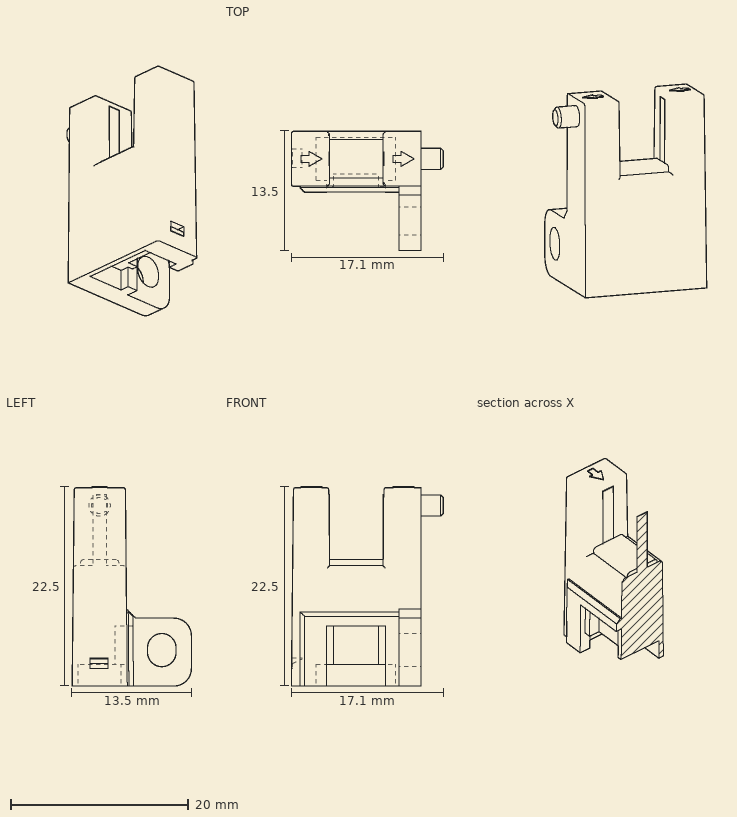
import cadquery as cq
import math

TOTAL_HEIGHT = 22.52
ARROW_HEIGHT = 0.1
BODY_HEIGHT = TOTAL_HEIGHT - ARROW_HEIGHT
BODY_WIDTH = 14.65
BODY_DEPTH = 6.24
DRAFT_SLOPE = math.tan(math.radians(0.6))
FRONT_DRAFT_SLOPE = math.tan(math.radians(0.5))
EDGE_RADIUS = 0.3
MID_Y = BODY_DEPTH / 2
OVERLAP = 0.68

SLOT_LEFT = 4.32
SLOT_RIGHT = 10.35
SLOT_FLOOR = 13.6
SADDLE_WIDTH = 4.37
SADDLE_TOP = 14.32
SADDLE_RADIUS = 0.47
WINDOW_WIDTH = 1.53
WINDOW_TOP = 21.66

PLATE_LEFT = 1.0
PLATE_TOP = 8.4
PLATE_THICKNESS = 0.7
PLATE_CHAMFER = 0.52

OPENING_MID_X = 7.3
NOTCH_WIDTH = 6.67
NOTCH_TOP = 6.78
POCKET_WIDTH = 5.07
POCKET_BACK = 1.4
HOLLOW_WIDTH = 8.96
HOLLOW_HEIGHT = 2.48
WALL = 0.7

LUG_THICKNESS = 2.5
LUG_REACH = 7.25
LUG_HEIGHT = 7.7
LUG_RADIUS = 2.0
GUSSET = 1.01
LUG_HOLE_WIDTH = 3.2
LUG_HOLE_HEIGHT = 3.72
LUG_HOLE_Y = -3.9
LUG_HOLE_Z = 4.08

PIN_DIAMETER = 2.4
PIN_LENGTH = 2.5
PIN_CHAMFER = 0.3
PIN_Z = 20.4

LATCH_FRONT = 2.16
LATCH_WIDTH = 2.05
LATCH_BOTTOM = 1.98
LATCH_RAMP_BOTTOM = 2.55
LATCH_TOP = 3.18
LATCH_RAMP_TOP = 3.09
LATCH_FACE_DEPTH = 0.11
LATCH_TOP_DEPTH = 1.24

ARROW_LENGTH = 2.39
ARROW_STEM_LENGTH = 0.92
ARROW_STEM_WIDTH = 0.79
ARROW_HEAD_WIDTH = 1.7
ARROW_START = 1.08
ARROW_PITCH = 10.4


def block(x_range, y_range, z_range):
    """Axis-aligned box between the given limits."""
    size = [high - low for low, high in (x_range, y_range, z_range)]
    corner = (x_range[0], y_range[0], z_range[0])
    return cq.Workplane("XY").box(*size, centered=False).translate(corner)


def prism_along_x(points, x_start, x_end):
    """Extrude a closed (y, z) outline from x_start to x_end."""
    return cq.Workplane("YZ", origin=(x_start, 0, 0)).polyline(points).close().extrude(x_end - x_start)


def centred(middle, width):
    """Limits of a span of the given width about a middle position."""
    return (middle - width / 2, middle + width / 2)


def make_body():
    """U-shaped housing drafted on every side but the right, with rounded edges."""
    rise = DRAFT_SLOPE * BODY_HEIGHT
    front_rise = FRONT_DRAFT_SLOPE * BODY_HEIGHT
    slot_spread = DRAFT_SLOPE * (BODY_HEIGHT - SLOT_FLOOR)
    front_outline = [
        (0, 0),
        (BODY_WIDTH, 0),
        (BODY_WIDTH, BODY_HEIGHT),
        (SLOT_RIGHT + slot_spread, BODY_HEIGHT),
        (SLOT_RIGHT, SLOT_FLOOR),
        (SLOT_LEFT, SLOT_FLOOR),
        (SLOT_LEFT - slot_spread, BODY_HEIGHT),
        (rise, BODY_HEIGHT),
    ]
    side_outline = [(0, 0), (BODY_DEPTH, 0), (BODY_DEPTH - rise, BODY_HEIGHT), (front_rise, BODY_HEIGHT)]
    body = cq.Workplane("XZ").polyline(front_outline).close().extrude(-BODY_DEPTH)
    body = body.intersect(prism_along_x(side_outline, 0, BODY_WIDTH))
    sharp = (
        body.edges("<Z")
        .add(body.faces(">X").edges())
        .add(body.edges(cq.selectors.NearestToPointSelector((SLOT_LEFT, MID_Y, SLOT_FLOOR))))
        .add(body.edges(cq.selectors.NearestToPointSelector((SLOT_RIGHT, MID_Y, SLOT_FLOOR))))
        .vals()
    )
    rounded = [edge for edge in body.edges().vals() if not any(edge.isSame(kept) for kept in sharp)]
    return body.newObject(rounded).fillet(EDGE_RADIUS)


def make_saddle():
    """Round-shouldered bar on the slot floor."""
    saddle = block((SLOT_LEFT, SLOT_RIGHT), centred(MID_Y, SADDLE_WIDTH), (SLOT_FLOOR - OVERLAP, SADDLE_TOP))
    return saddle.faces(">Z").edges("|X").fillet(SADDLE_RADIUS)


def make_windows():
    """Upright window strips that fill the draft on both slot walls."""
    y_range = centred(MID_Y, WINDOW_WIDTH)
    z_range = (SLOT_FLOOR, WINDOW_TOP)
    left = block((SLOT_LEFT - OVERLAP, SLOT_LEFT), y_range, z_range)
    right = block((SLOT_RIGHT, SLOT_RIGHT + OVERLAP), y_range, z_range)
    return left.union(right)


def make_plate():
    """Plate parallel to the drafted front face, bevelled along its top and left side."""
    lean = FRONT_DRAFT_SLOPE * PLATE_TOP
    outline = [
        (-PLATE_THICKNESS, 0),
        (OVERLAP, 0),
        (OVERLAP, PLATE_TOP),
        (lean - PLATE_THICKNESS, PLATE_TOP),
    ]
    plate = prism_along_x(outline, PLATE_LEFT, BODY_WIDTH)
    return plate.faces("<Y").edges(">Z or <X").chamfer(PLATE_CHAMFER)


def make_lug():
    """Mounting ear with rounded corners, a sloped gusset and an elongated hole."""
    x_start = BODY_WIDTH - LUG_THICKNESS
    lug = block((x_start, BODY_WIDTH), (-LUG_REACH, OVERLAP), (0, LUG_HEIGHT))
    lug = lug.edges("|X and <Y").fillet(LUG_RADIUS)
    lean = FRONT_DRAFT_SLOPE * (LUG_HEIGHT + GUSSET)
    gusset = [
        (lean - GUSSET, LUG_HEIGHT),
        (lean, LUG_HEIGHT + GUSSET),
        (OVERLAP, LUG_HEIGHT + GUSSET),
        (OVERLAP, LUG_HEIGHT),
    ]
    hole = (
        cq.Workplane("YZ", origin=(x_start, LUG_HOLE_Y, LUG_HOLE_Z))
        .slot2D(LUG_HOLE_HEIGHT, LUG_HOLE_WIDTH, 90)
        .extrude(LUG_THICKNESS)
    )
    return lug.union(prism_along_x(gusset, x_start, BODY_WIDTH)).cut(hole)


def make_pin():
    """Chamfered locating pin on the right side."""
    pin = cq.Workplane("YZ", origin=(BODY_WIDTH, MID_Y, PIN_Z)).circle(PIN_DIAMETER / 2).extrude(PIN_LENGTH)
    return pin.faces(">X").chamfer(PIN_CHAMFER)


def make_arrow(x_start):
    """Raised arrow pointing along +X on a tower top."""
    stem = ARROW_STEM_WIDTH / 2
    head = ARROW_HEAD_WIDTH / 2
    outline = [
        (0, -stem),
        (ARROW_STEM_LENGTH, -stem),
        (ARROW_STEM_LENGTH, -head),
        (ARROW_LENGTH, 0),
        (ARROW_STEM_LENGTH, head),
        (ARROW_STEM_LENGTH, stem),
        (0, stem),
    ]
    plane = cq.Workplane("XY", origin=(x_start, MID_Y, BODY_HEIGHT))
    return plane.polyline(outline).close().extrude(ARROW_HEIGHT)


def make_connector_opening():
    """Notch through the plate, deeper pocket behind it and hollow at the open end."""
    notch_top_y = FRONT_DRAFT_SLOPE * NOTCH_TOP
    notch_outline = [(-PLATE_THICKNESS, 0), (0, 0), (notch_top_y, NOTCH_TOP), (-PLATE_THICKNESS, NOTCH_TOP)]
    notch = prism_along_x(notch_outline, *centred(OPENING_MID_X, NOTCH_WIDTH))
    mouth = block(centred(OPENING_MID_X, NOTCH_WIDTH), (0, WALL), (0, HOLLOW_HEIGHT))
    pocket = block(centred(OPENING_MID_X, POCKET_WIDTH), (0, POCKET_BACK), (0, NOTCH_TOP))
    hollow = block(centred(OPENING_MID_X, HOLLOW_WIDTH), (WALL, BODY_DEPTH - WALL), (0, HOLLOW_HEIGHT))
    return notch.union(mouth).union(pocket).union(hollow)


def make_latch_opening():
    """Recess in the left side around a latch tooth with a sloped top."""
    outline = [
        (-OVERLAP, LATCH_BOTTOM),
        (LATCH_FACE_DEPTH, LATCH_BOTTOM),
        (LATCH_FACE_DEPTH, LATCH_RAMP_BOTTOM),
        (LATCH_TOP_DEPTH, LATCH_RAMP_TOP),
        (LATCH_TOP_DEPTH, LATCH_TOP),
        (-OVERLAP, LATCH_TOP),
    ]
    plane = cq.Workplane("XZ", origin=(0, LATCH_FRONT, 0))
    return plane.polyline(outline).close().extrude(-LATCH_WIDTH)


result = make_body()
for feature in (make_saddle(), make_windows(), make_plate()):
    result = result.union(feature)
result = result.cut(make_connector_opening()).cut(make_latch_opening())
result = result.union(make_lug()).union(make_pin())
for arrow_index in range(2):
    result = result.union(make_arrow(ARROW_START + arrow_index * ARROW_PITCH))